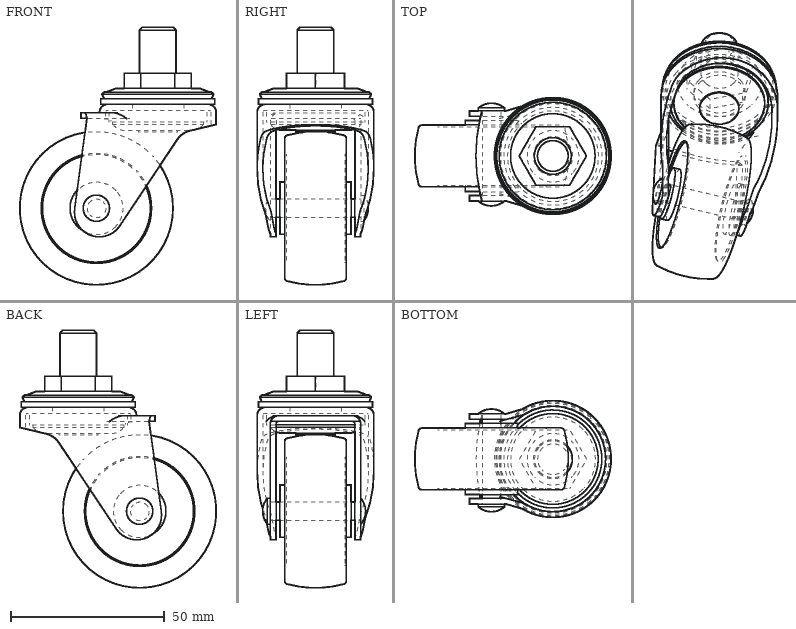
import cadquery as cq
import math

overall_height = 83.9
wheel_radius = 25.0
wheel_offset = 20.0
axle_radius = 3.0

wheel_half_width = 10.1
tread_half_width = 8.8
tread_edge_radius = 23.8
side_face_radius = 22.6
recess_radius = 17.95
recess_floor_radius = 17.5
recess_depth = 0.5
hub_radius = 8.55
hub_half_length = 11.6

dome_radius = 4.3
dome_height = 1.6
head_rim = 0.9

sheet = 1.85
leg_half_width = 14.7
crown_diameter = 38.0
crown_radius = crown_diameter / 2
crown_top = 58.7
crown_round = 2.5
plate_top = 56.0
plate_round = 2.7
plate_nose_x = -25.0
plate_corner_x = -23.1
leg_bend_x = -15.2
flare_end_x = -9.8
flare_half_width = math.sqrt(crown_radius**2 - flare_end_x**2)
leg_tip_x = -19.0
leg_tip_z = 23.7
leg_tip_radius = 8.05
skirt_corner_x = 7.8
skirt_corner_z = 49.5
skirt_corner_round = 6.7
skirt_back_z = 52.2

stud_diameter = 12.0
stud_radius = stud_diameter / 2
stud_chamfer = 1.0
hex_across_flats = 18.95
hex_top = 68.9
cover_top = 63.9
cover_top_radius = 13.75
cover_slope_radius = 16.35
cover_slope_z = 62.9
cover_shoulder_radius = 17.45
cover_shoulder_z = 62.75
cover_lip_radius = 18.2
cover_lip_z = 62.1
cover_foot_radius = 17.5
ring_diameter = 37.2
ring_radius = ring_diameter / 2
ring_top = 60.65
neck_radius = 8.4
cup_flange_radius = 15.9
cup_flange_bottom = 53.0
cup_radius = 14.8
cup_straight_bottom = 52.3
cup_bottom = 50.3
cup_bottom_radius = 11.15
cup_mid_radius = 13.4
cup_mid_z = 51.1
stem_end_radius = 6.4
stem_end_bottom = 49.8

wheel_x = -wheel_offset
axle_z = wheel_radius
crown_underside = crown_top - sheet
plate_underside = plate_top - sheet
open_front_x = 2 * plate_nose_x


def about_axle(profile):
    """Revolve a (radius, Y) profile drawn from the axle in the XY plane, about the axle."""
    return profile.revolve(360, (0, 0, 0), (0, 1, 0)).translate((wheel_x, 0, axle_z))


def make_wheel():
    shoulder_drop = (tread_edge_radius - side_face_radius) * (1 - math.sqrt(0.5))
    shoulder_radius = tread_edge_radius - shoulder_drop
    shoulder_y = wheel_half_width - (wheel_half_width - tread_half_width) * (1 - math.sqrt(0.5))
    floor_y = wheel_half_width - recess_depth
    profile = (
        cq.Workplane("XY")
        .moveTo(axle_radius, -hub_half_length)
        .lineTo(hub_radius, -hub_half_length)
        .lineTo(hub_radius, -floor_y)
        .lineTo(recess_floor_radius, -floor_y)
        .lineTo(recess_radius, -wheel_half_width)
        .lineTo(side_face_radius, -wheel_half_width)
        .threePointArc((shoulder_radius, -shoulder_y), (tread_edge_radius, -tread_half_width))
        .threePointArc((wheel_radius, 0), (tread_edge_radius, tread_half_width))
        .threePointArc((shoulder_radius, shoulder_y), (side_face_radius, wheel_half_width))
        .lineTo(recess_radius, wheel_half_width)
        .lineTo(recess_floor_radius, floor_y)
        .lineTo(hub_radius, floor_y)
        .lineTo(hub_radius, hub_half_length)
        .lineTo(axle_radius, hub_half_length)
        .close()
    )
    return about_axle(profile)


def make_axle():
    sphere_radius = (dome_radius**2 + dome_height**2) / (2 * dome_height)
    mid_radius = dome_radius / 2
    mid_height = dome_height - sphere_radius + math.sqrt(sphere_radius**2 - mid_radius**2)
    rim_y = leg_half_width + head_rim
    profile = (
        cq.Workplane("XY")
        .moveTo(0, -leg_half_width - dome_height)
        .threePointArc((mid_radius, -leg_half_width - mid_height), (dome_radius, -leg_half_width))
        .lineTo(axle_radius, -leg_half_width)
        .lineTo(axle_radius, leg_half_width)
        .lineTo(dome_radius, leg_half_width)
        .lineTo(dome_radius, rim_y)
        .threePointArc((mid_radius, rim_y + mid_height), (0, rim_y + dome_height))
        .close()
    )
    return about_axle(profile)


def fork_plan(inset):
    """Open outline of the fork seen along Z, moved inwards by the inset, without its front edge."""
    radius = crown_radius - inset
    side_y = leg_half_width - inset
    flare_y = flare_half_width - inset
    flare_x = -math.sqrt(radius**2 - flare_y**2)
    return (
        cq.Workplane("XY")
        .moveTo(plate_corner_x, side_y)
        .lineTo(leg_bend_x, side_y)
        .lineTo(flare_x, flare_y)
        .threePointArc((radius, 0), (flare_x, -flare_y))
        .lineTo(leg_bend_x, -side_y)
        .lineTo(plate_corner_x, -side_y)
    )


def close_in_front(outline, half_width):
    """Close a fork outline square, well in front of the legs."""
    return outline.lineTo(open_front_x, -half_width).lineTo(open_front_x, half_width).close()


def tip_tangent(corner_x, corner_z, side):
    """Point where the line from a corner touches the round leg tip (side: 1 front, -1 back)."""
    dx = corner_x - leg_tip_x
    dz = corner_z - leg_tip_z
    angle = math.atan2(dz, dx) + side * math.acos(leg_tip_radius / math.hypot(dx, dz))
    return leg_tip_x + leg_tip_radius * math.cos(angle), leg_tip_z + leg_tip_radius * math.sin(angle)


def make_leg_envelope():
    """Everything inside the side outline of the legs and skirt, below the front plate."""
    skirt = (
        cq.Workplane("XZ")
        .moveTo(plate_corner_x, plate_underside)
        .lineTo(*tip_tangent(plate_corner_x, plate_underside, 1))
        .threePointArc(
            (leg_tip_x, leg_tip_z - leg_tip_radius),
            tip_tangent(skirt_corner_x, skirt_corner_z, -1),
        )
        .lineTo(skirt_corner_x, skirt_corner_z)
        .lineTo(crown_radius, skirt_back_z)
        .lineTo(crown_radius, plate_underside)
        .close()
        .extrude(crown_radius, both=True)
    )
    corner = cq.selectors.NearestToPointSelector((skirt_corner_x, 0, skirt_corner_z))
    return skirt.edges(corner).fillet(skirt_corner_round)


def make_fork():
    prism = close_in_front(fork_plan(0), leg_half_width).extrude(plate_top)
    bend_x = (open_front_x + leg_bend_x) / 2
    flare_x = (leg_bend_x + flare_end_x) / 2
    flare_y = (leg_half_width + flare_half_width) / 2
    top_edges = []
    for side in (1, -1):
        for x, y in ((bend_x, leg_half_width), (flare_x, flare_y)):
            nearest = cq.selectors.NearestToPointSelector((x, side * y, plate_top))
            top_edges += prism.edges(nearest).vals()
    prism = prism.newObject(top_edges).fillet(plate_round)

    plate_slab = (
        cq.Workplane("XY", origin=(0, 0, plate_underside))
        .moveTo(plate_corner_x, -leg_half_width)
        .threePointArc((plate_nose_x, 0), (plate_corner_x, leg_half_width))
        .lineTo(leg_bend_x, crown_radius)
        .lineTo(crown_radius, crown_radius)
        .lineTo(crown_radius, -crown_radius)
        .lineTo(leg_bend_x, -crown_radius)
        .close()
        .extrude(sheet)
    )
    fork = prism.intersect(make_leg_envelope().union(plate_slab))

    crown = (
        cq.Workplane("XY", origin=(0, 0, plate_underside))
        .circle(crown_radius)
        .extrude(crown_top - plate_underside)
        .faces(">Z")
        .edges()
        .fillet(crown_round)
    )
    fork = fork.union(crown)

    hollow = (
        close_in_front(fork_plan(sheet), leg_half_width - sheet)
        .extrude(plate_underside)
        .edges("|X and >Z")
        .fillet(plate_round - sheet)
    )
    crown_hollow = (
        cq.Workplane("XY", origin=(0, 0, skirt_corner_z))
        .circle(crown_radius - sheet)
        .extrude(crown_underside - skirt_corner_z)
        .faces(">Z")
        .edges()
        .fillet(crown_round - sheet)
    )
    swivel_hole = cq.Workplane("XY").circle(neck_radius).extrude(overall_height)
    axle_hole = (
        cq.Workplane("XZ", origin=(wheel_x, 0, axle_z))
        .circle(axle_radius)
        .extrude(crown_radius, both=True)
    )
    return fork.cut(hollow).cut(crown_hollow).cut(swivel_hole).cut(axle_hole)


def make_stem():
    round_parts = (
        cq.Workplane("XZ")
        .moveTo(0, stem_end_bottom)
        .lineTo(stem_end_radius, stem_end_bottom)
        .lineTo(stem_end_radius, cup_bottom)
        .lineTo(cup_bottom_radius, cup_bottom)
        .threePointArc((cup_mid_radius, cup_mid_z), (cup_radius, cup_straight_bottom))
        .lineTo(cup_radius, cup_flange_bottom)
        .lineTo(cup_flange_radius, cup_flange_bottom)
        .lineTo(cup_flange_radius, crown_underside)
        .lineTo(neck_radius, crown_underside)
        .lineTo(neck_radius, crown_top)
        .lineTo(ring_radius, crown_top)
        .lineTo(ring_radius, ring_top)
        .lineTo(cover_foot_radius, ring_top)
        .lineTo(cover_lip_radius, cover_lip_z)
        .lineTo(cover_shoulder_radius, cover_shoulder_z)
        .lineTo(cover_slope_radius, cover_slope_z)
        .lineTo(cover_top_radius, cover_top)
        .lineTo(0, cover_top)
        .close()
        .revolve(360, (0, 0, 0), (0, 1, 0))
    )
    hexagon = (
        cq.Workplane("XY", origin=(0, 0, cover_top))
        .polygon(6, hex_across_flats, circumscribed=True)
        .extrude(hex_top - cover_top)
        .rotate((0, 0, 0), (0, 0, 1), 30)
    )
    stud = (
        cq.Workplane("XY", origin=(0, 0, hex_top))
        .circle(stud_radius)
        .extrude(overall_height - hex_top)
        .faces(">Z")
        .chamfer(stud_chamfer)
    )
    return round_parts.union(hexagon).union(stud)


wheel = make_wheel()
axle = make_axle()
fork = make_fork()
stem = make_stem()

result = cq.Compound.makeCompound([wheel.val(), axle.val(), fork.val(), stem.val()])